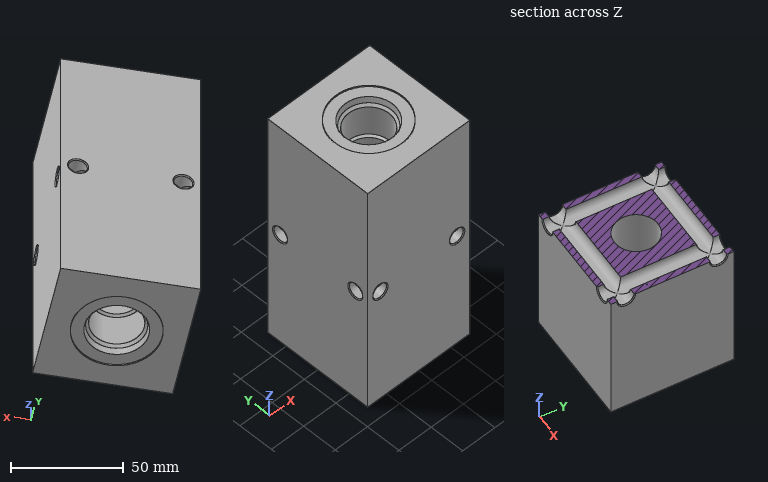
import cadquery as cq
import math

SIDE = 63.5
HEIGHT = 139.7

SPOTFACE_DIAMETER = 41.2
SPOTFACE_DEPTH = 0.8
SEAT_MOUTH_DIAMETER = 29.2
SEAT_ROOT_DIAMETER = 27.6
SEAT_DEPTH = 3.2
THREAD_DIAMETER = 24.9
THREAD_DEPTH = 23.0
DRILL_POINT_ANGLE = 118.0
BORE_DIAMETER = 22.2

HOLE_DIAMETER = 8.5
HOLE_MOUTH_DIAMETER = 9.5
HOLE_EDGE_DISTANCE = 7.9
HOLE_OFFSET = SIDE / 2 - HOLE_EDGE_DISTANCE


def make_port_cutter():
    """Revolved port shape entering the top face."""
    z_spotface = HEIGHT / 2 - SPOTFACE_DEPTH
    z_seat = z_spotface - SEAT_DEPTH
    z_thread = z_seat - (SEAT_ROOT_DIAMETER - THREAD_DIAMETER) / 2
    z_shoulder = HEIGHT / 2 - THREAD_DEPTH
    cone_width = (THREAD_DIAMETER - BORE_DIAMETER) / 2
    z_bottom = z_shoulder - cone_width / math.tan(math.radians(DRILL_POINT_ANGLE / 2))
    return (
        cq.Workplane("XZ")
        .moveTo(0, HEIGHT / 2)
        .lineTo(SPOTFACE_DIAMETER / 2, HEIGHT / 2)
        .lineTo(SPOTFACE_DIAMETER / 2, z_spotface)
        .lineTo(SEAT_MOUTH_DIAMETER / 2, z_spotface)
        .lineTo(SEAT_ROOT_DIAMETER / 2, z_seat)
        .lineTo(THREAD_DIAMETER / 2, z_thread)
        .lineTo(THREAD_DIAMETER / 2, z_shoulder)
        .lineTo(BORE_DIAMETER / 2, z_bottom)
        .lineTo(0, z_bottom)
        .close()
        .revolve(360, (0, 0, 0), (0, 1, 0))
    )


def make_hole_cutter(offset):
    """Through hole along Y at the given X, with a 45 degree chamfer at both mouths."""
    chamfer = (HOLE_MOUTH_DIAMETER - HOLE_DIAMETER) / 2
    hole_radius = HOLE_DIAMETER / 2
    mouth_radius = HOLE_MOUTH_DIAMETER / 2
    half = SIDE / 2
    return (
        cq.Workplane("XY")
        .moveTo(offset, -half)
        .lineTo(offset + mouth_radius, -half)
        .lineTo(offset + hole_radius, -half + chamfer)
        .lineTo(offset + hole_radius, half - chamfer)
        .lineTo(offset + mouth_radius, half)
        .lineTo(offset, half)
        .close()
        .revolve(360, (offset, 0, 0), (offset, 1, 0))
    )


block = cq.Workplane("XY").box(SIDE, SIDE, HEIGHT)
bore = cq.Workplane("XY").circle(BORE_DIAMETER / 2).extrude(HEIGHT / 2, both=True)
result = block.cut(bore)

top_port = make_port_cutter()
bottom_port = top_port.mirror("XY")
result = result.cut(top_port).cut(bottom_port)

for hole_position in (-HOLE_OFFSET, HOLE_OFFSET):
    hole_along_y = make_hole_cutter(hole_position)
    hole_along_x = hole_along_y.rotate((0, 0, 0), (0, 0, 1), 90)
    result = result.cut(hole_along_y).cut(hole_along_x)